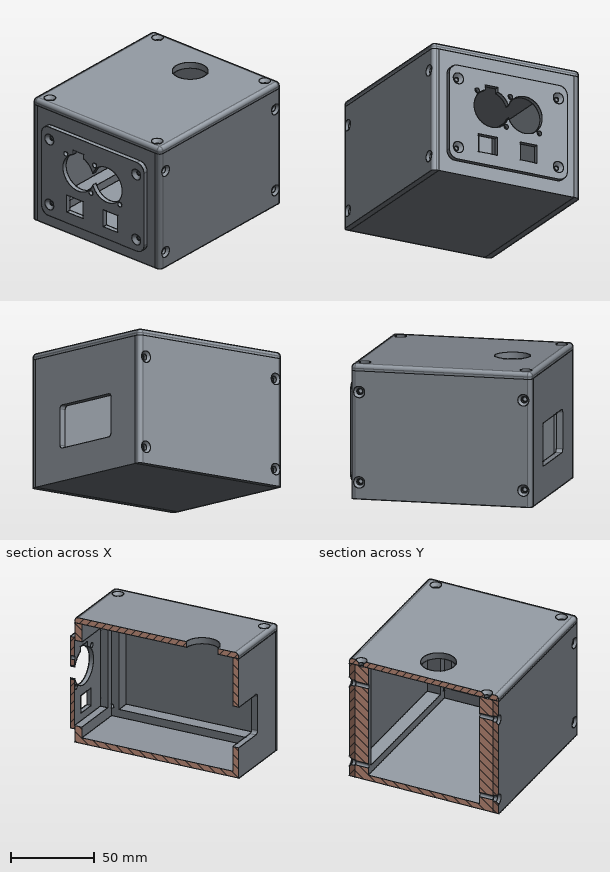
import cadquery as cq

WIDTH = 100.0
TOTAL_DEPTH = 114.5
HEIGHT = 82.0
CENTER_X = WIDTH / 2

PLATE_THICKNESS = 3.0
WALL = 4.0
FRONT_WALL = 5.0
EDGE_RADIUS = 2.5

BOX_FRONT = PLATE_THICKNESS
SIDE_HEIGHT = HEIGHT - WALL

HEAD_DIAMETER = 7.0
SCREW_DIAMETER = 2.7
SIDE_SCREW_DIAMETER = 3.8

RAIL_WIDTH = 8.9
RAIL_THICKNESS = 5.0

SIDE_SCREW_INSET = 5.0
SIDE_SCREW_HEIGHTS = (10.2, 65.2)

LID_SCREW_INSET_X = 8.0
LID_SCREW_INSET_FRONT = 6.6
LID_SCREW_INSET_BACK = 5.5
LID_HOLE_DIAMETER = 21.4
LID_HOLE_INSET_BACK = 24.8

PLATE_WIDTH = 80.2
PLATE_HEIGHT = 60.1
PLATE_CENTER_X = 49.7
PLATE_CENTER_Z = 38.6
PLATE_RADIUS = 5.5
PLATE_SCREW_SPACING_X = 68.0
PLATE_SCREW_SPACING_Z = 44.1
PLATE_SCREW_CENTER_Z = 38.2

CONNECTOR_Z = 45.2
LEFT_CONNECTOR_X = 38.4
RIGHT_CONNECTOR_X = 60.9
LEFT_CONNECTOR_DIAMETER = 24.0
RIGHT_CONNECTOR_DIAMETER = 23.6
CONNECTOR_SCREW_DIAMETER = 3.0
CONNECTOR_SCREW_OFFSET = 9.8
NOTCH_WIDTH = 8.5
NOTCH_TOP = 59.5

WINDOW_BOTTOM = 15.9
WINDOW_HEIGHT = 11.5
LEFT_WINDOW_X = 35.7
LEFT_WINDOW_WIDTH = 12.8
RIGHT_WINDOW_X = 63.4
RIGHT_WINDOW_WIDTH = 11.1

FRONT_OPENING_WIDTH = 64.3
FRONT_OPENING_BOTTOM = 11.0
FRONT_OPENING_TOP = 66.5

BACK_OPENING_WIDTH = 47.0
BACK_OPENING_BOTTOM = 20.0
BACK_OPENING_TOP = 46.4
BACK_OPENING_RADIUS = 2.1


def box(x_min, x_max, y_min, y_max, z_min, z_max):
    """Box between the given limits."""
    size = (x_max - x_min, y_max - y_min, z_max - z_min)
    return cq.Workplane("XY").box(*size, centered=False).translate((x_min, y_min, z_min))


def wide_box(center_x, width, y_min, y_max, z_min, z_max):
    """Box given by the middle and width of its X extent."""
    return box(center_x - width / 2, center_x + width / 2, y_min, y_max, z_min, z_max)


def cylinder(point, direction, diameter, length):
    """Cylinder that starts at a point and runs along a direction."""
    solid = cq.Solid.makeCylinder(diameter / 2, length, cq.Vector(*point), cq.Vector(*direction))
    return cq.Workplane(solid)


def countersink(point, direction, diameter, depth):
    """Cutter for a 90 degree countersunk hole that enters at a point on a face."""
    cone_depth = (HEAD_DIAMETER - diameter) / 2
    cone = cq.Solid.makeCone(
        HEAD_DIAMETER / 2, diameter / 2, cone_depth, cq.Vector(*point), cq.Vector(*direction)
    )
    return cylinder(point, direction, diameter, depth).union(cq.Workplane(cone))


def side_screw_places():
    """Y and Z of the four screws in each side panel."""
    rows = (BOX_FRONT + SIDE_SCREW_INSET, TOTAL_DEPTH - SIDE_SCREW_INSET)
    return [(y, z) for y in rows for z in SIDE_SCREW_HEIGHTS]


def rounded_block():
    """Outside of the closed box, with rounded top and upright edges."""
    block = box(0, WIDTH, BOX_FRONT, TOTAL_DEPTH, 0, HEIGHT)
    return block.edges("|Z or >Z").fillet(EDGE_RADIUS)


def make_lid():
    lid = rounded_block().intersect(box(0, WIDTH, BOX_FRONT, TOTAL_DEPTH, SIDE_HEIGHT, HEIGHT))
    for x in (LID_SCREW_INSET_X, WIDTH - LID_SCREW_INSET_X):
        for y in (BOX_FRONT + LID_SCREW_INSET_FRONT, TOTAL_DEPTH - LID_SCREW_INSET_BACK):
            lid = lid.cut(countersink((x, y, HEIGHT), (0, 0, -1), SCREW_DIAMETER, WALL))
    hole_place = (CENTER_X, TOTAL_DEPTH - LID_HOLE_INSET_BACK, HEIGHT)
    return lid.cut(cylinder(hole_place, (0, 0, -1), LID_HOLE_DIAMETER, WALL))


def make_side_panel(outer_x, inward):
    """Side panel whose outer face is at outer_x; inward is +1 or -1 along X."""
    x_min, x_max = sorted((outer_x, outer_x + inward * WALL))
    panel = rounded_block().intersect(box(x_min, x_max, BOX_FRONT, TOTAL_DEPTH, 0, SIDE_HEIGHT))
    for y, z in side_screw_places():
        panel = panel.cut(countersink((outer_x, y, z), (inward, 0, 0), SIDE_SCREW_DIAMETER, WALL))
    return panel


def make_base():
    """Floor, front wall and back wall in one piece, with floor rails and corner posts."""
    left, right = WALL, WIDTH - WALL
    front_inner = BOX_FRONT + FRONT_WALL
    back_inner = TOTAL_DEPTH - WALL

    base = box(left, right, BOX_FRONT, TOTAL_DEPTH, 0, WALL)
    base = base.union(box(left, right, BOX_FRONT, front_inner, 0, SIDE_HEIGHT))
    base = base.union(box(left, right, back_inner, TOTAL_DEPTH, 0, SIDE_HEIGHT))

    for x in (left, right - RAIL_WIDTH):
        base = base.union(box(x, x + RAIL_WIDTH, BOX_FRONT, TOTAL_DEPTH, 0, WALL + RAIL_THICKNESS))
        for y in (front_inner, back_inner - RAIL_THICKNESS):
            base = base.union(box(x, x + RAIL_WIDTH, y, y + RAIL_THICKNESS, 0, SIDE_HEIGHT))

    for y, z in side_screw_places():
        base = base.cut(cylinder((left, y, z), (1, 0, 0), SCREW_DIAMETER, RAIL_WIDTH))
        base = base.cut(cylinder((right, y, z), (-1, 0, 0), SCREW_DIAMETER, RAIL_WIDTH))

    front_opening = wide_box(
        CENTER_X, FRONT_OPENING_WIDTH, BOX_FRONT, front_inner, FRONT_OPENING_BOTTOM, FRONT_OPENING_TOP
    )
    base = base.cut(front_opening)
    back_opening = wide_box(
        CENTER_X, BACK_OPENING_WIDTH, back_inner, TOTAL_DEPTH, BACK_OPENING_BOTTOM, BACK_OPENING_TOP
    )
    return base.cut(back_opening.edges("|Y").fillet(BACK_OPENING_RADIUS))


def connector_cutter(center_x, diameter):
    """Round cutout with its two screw holes on a diagonal."""
    cutter = cylinder((center_x, 0, CONNECTOR_Z), (0, 1, 0), diameter, PLATE_THICKNESS)
    for offset in (CONNECTOR_SCREW_OFFSET, -CONNECTOR_SCREW_OFFSET):
        place = (center_x - offset, 0, CONNECTOR_Z + offset)
        cutter = cutter.union(cylinder(place, (0, 1, 0), CONNECTOR_SCREW_DIAMETER, PLATE_THICKNESS))
    return cutter


def make_faceplate():
    bottom = PLATE_CENTER_Z - PLATE_HEIGHT / 2
    plate = wide_box(PLATE_CENTER_X, PLATE_WIDTH, 0, PLATE_THICKNESS, bottom, bottom + PLATE_HEIGHT)
    plate = plate.edges("|Y").fillet(PLATE_RADIUS)

    for x_side in (-1, 1):
        for z_side in (-1, 1):
            x = PLATE_CENTER_X + x_side * PLATE_SCREW_SPACING_X / 2
            z = PLATE_SCREW_CENTER_Z + z_side * PLATE_SCREW_SPACING_Z / 2
            plate = plate.cut(countersink((x, 0, z), (0, 1, 0), SCREW_DIAMETER, PLATE_THICKNESS))

    plate = plate.cut(connector_cutter(LEFT_CONNECTOR_X, LEFT_CONNECTOR_DIAMETER))
    plate = plate.cut(connector_cutter(RIGHT_CONNECTOR_X, RIGHT_CONNECTOR_DIAMETER))
    plate = plate.cut(wide_box(LEFT_CONNECTOR_X, NOTCH_WIDTH, 0, PLATE_THICKNESS, CONNECTOR_Z, NOTCH_TOP))

    windows = ((LEFT_WINDOW_X, LEFT_WINDOW_WIDTH), (RIGHT_WINDOW_X, RIGHT_WINDOW_WIDTH))
    window_top = WINDOW_BOTTOM + WINDOW_HEIGHT
    for x, width in windows:
        plate = plate.cut(wide_box(x, width, 0, PLATE_THICKNESS, WINDOW_BOTTOM, window_top))
    return plate


lid = make_lid()
side_panels = [make_side_panel(outer_x, inward) for outer_x, inward in ((0, 1), (WIDTH, -1))]
base = make_base()
faceplate = make_faceplate()

result = cq.Compound.makeCompound(
    [lid.val(), *[panel.val() for panel in side_panels], base.val(), faceplate.val()]
)